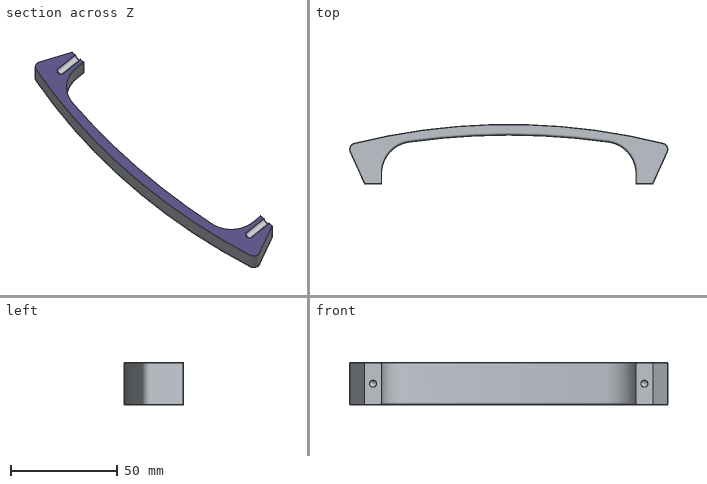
import cadquery as cq
import math

length = 150.0
depth = 28.0
height = 20.0

outer_radius = 299.9
inner_radius = 337.3
bow_thickness = 5.1
corner_radius = 3.0
bend_radius = 15.0

foot_outer_x = 67.9
foot_width = 8.0
foot_inner_x = foot_outer_x - foot_width

hole_spacing = 127.9
hole_diameter = 3.3
hole_depth = 12.0
drill_point_angle = 118.0

grip_rounding = 1.0
outer_rounding = 0.5


def point_on_circle(center, radius, angle):
    return (center[0] + radius * math.cos(angle), center[1] + radius * math.sin(angle))


def mirrored(point):
    return (-point[0], point[1])


def nested_circle(big_radius, crown_y, small_radius, center_x):
    """Centre of a circle touching a bow arc from inside, and the angle of contact."""
    big_center_y = crown_y - big_radius
    rise = math.sqrt((big_radius - small_radius) ** 2 - center_x**2)
    return (center_x, big_center_y + rise), math.atan2(rise, center_x)


grip_y = depth - bow_thickness
corner_center, corner_contact = nested_circle(
    outer_radius, depth, corner_radius, length / 2 - corner_radius
)
bend_center, bend_contact = nested_circle(
    inner_radius, grip_y, bend_radius, foot_inner_x - bend_radius
)

to_foot_x = foot_outer_x - corner_center[0]
to_foot_y = -corner_center[1]
foot_distance = math.hypot(to_foot_x, to_foot_y)
end_contact = math.atan2(to_foot_y, to_foot_x) + math.acos(corner_radius / foot_distance)

foot_outer = (foot_outer_x, 0)
foot_inner = (foot_inner_x, 0)
end_top = point_on_circle(corner_center, corner_radius, end_contact)
corner_tip = point_on_circle(corner_center, corner_radius, 0)
back_end = point_on_circle(corner_center, corner_radius, corner_contact)
leg_top = (foot_inner_x, bend_center[1])
bend_middle = point_on_circle(bend_center, bend_radius, bend_contact / 2)
grip_end = point_on_circle(bend_center, bend_radius, bend_contact)


def make_body():
    outline = (
        cq.Workplane("XY")
        .workplane(offset=-height / 2)
        .moveTo(*foot_outer)
        .lineTo(*end_top)
        .threePointArc(corner_tip, back_end)
        .threePointArc((0, depth), mirrored(back_end))
        .threePointArc(mirrored(corner_tip), mirrored(end_top))
        .lineTo(*mirrored(foot_outer))
        .lineTo(*mirrored(foot_inner))
        .lineTo(*mirrored(leg_top))
        .threePointArc(mirrored(bend_middle), mirrored(grip_end))
        .threePointArc((0, grip_y), grip_end)
        .threePointArc(bend_middle, leg_top)
        .lineTo(*foot_inner)
        .close()
    )
    return outline.extrude(height)


def round_edges(body):
    """Round the Z-side edges: wide along the grip opening, narrow along the back and ends."""
    for x, y, radius in ((0, grip_y, grip_rounding), (0, depth, outer_rounding)):
        for z in (-height / 2, height / 2):
            edge = cq.selectors.NearestToPointSelector((x, y, z))
            body = body.edges(edge).fillet(radius)
    return body


def make_screw_hole(x):
    radius = hole_diameter / 2
    point_length = radius / math.tan(math.radians(drill_point_angle / 2))
    half_section = (
        cq.Workplane("XY")
        .polyline([(0, 0), (radius, 0), (radius, hole_depth), (0, hole_depth + point_length)])
        .close()
    )
    return half_section.revolve(360, (0, 0), (0, 1)).translate((x, 0, 0))


result = round_edges(make_body())
for side in (-1, 1):
    result = result.cut(make_screw_hole(side * hole_spacing / 2))